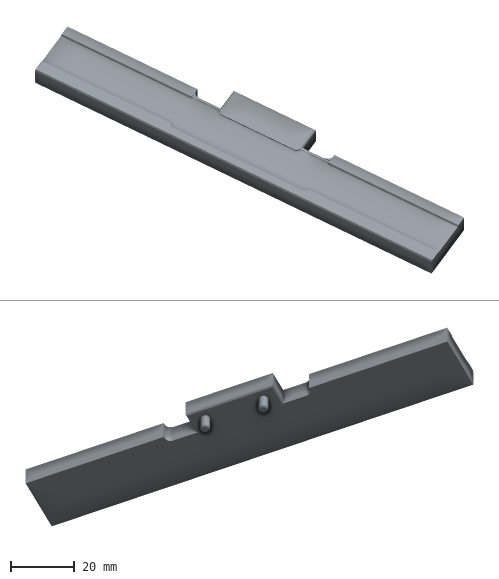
import cadquery as cq

rail_length = 145.0
rail_depth = 19.9
rail_height = 6.5
front_chamfer = 0.5

channel_front = 4.2
channel_back = 16.0
channel_back_top = 16.4
channel_floor = rail_height - 0.5

middle_length = 50.0
notch_floor = 17.3
notch_radius = 2.0
flare_front_top = 2.8
flare_front = 3.6
flare_back = 16.4
flare_corner = 1.0
ledge_height = rail_height - 0.22

block_length = 30.0
block_front = 15.2
block_back = 25.4
block_chamfer = 0.5
block_front_chamfer = 1.3

pin_diameter = 3.0
pin_length = 5.0
pin_spacing = 20.0
pin_y = 21.5
pin_chamfer = 0.5


def make_rail():
    """Bar with its channel, extruded along X from the end profile."""
    profile = [
        (0, 0),
        (rail_depth, 0),
        (rail_depth, rail_height),
        (channel_back_top, rail_height),
        (channel_back, channel_floor),
        (channel_front, channel_floor),
        (channel_front, rail_height),
        (front_chamfer, rail_height),
        (0, rail_height - front_chamfer),
    ]
    rail = cq.Workplane("YZ").polyline(profile).close()
    return rail.extrude(rail_length / 2, both=True)


def make_notch():
    """Cutter for the back notch, with rounded inner corners."""
    notch_depth = 2 * (rail_depth - notch_floor)
    return (
        cq.Workplane("XY")
        .box(middle_length, notch_depth, rail_height, centered=(True, False, False))
        .edges("|Z and <Y")
        .fillet(notch_radius)
        .translate((0, notch_floor, 0))
    )


def make_flare():
    """Clipped-corner cutter that widens the middle of the channel, with a sloped front and a back ledge."""
    profile = [
        (flare_front_top, rail_height),
        (flare_front, channel_floor),
        (flare_back, channel_floor),
        (flare_back, ledge_height),
        (notch_floor, ledge_height),
        (notch_floor, rail_height),
    ]
    flare = cq.Workplane("YZ").polyline(profile).close().extrude(middle_length / 2, both=True)
    clip = (
        cq.Workplane("XY")
        .box(middle_length, rail_depth - flare_front_top, rail_height, centered=(True, False, False))
        .edges("|Z and <Y")
        .chamfer(flare_corner)
        .translate((0, flare_front_top, 0))
    )
    return flare.intersect(clip)


def make_block():
    """Block with chamfered top, bottom and front upright edges."""
    return (
        cq.Workplane("XY")
        .box(block_length, block_back - block_front, rail_height, centered=(True, False, False))
        .edges("|Z and <Y")
        .chamfer(block_front_chamfer)
        .faces(">Y or <X or >X")
        .edges("<Z or >Z")
        .chamfer(block_chamfer)
        .translate((0, block_front, 0))
    )


def make_pins():
    """Two round pins hanging below the block, chamfered at the tips."""
    return (
        cq.Workplane("XY")
        .pushPoints([(-pin_spacing / 2, pin_y), (pin_spacing / 2, pin_y)])
        .circle(pin_diameter / 2)
        .extrude(-pin_length)
        .faces("<Z")
        .chamfer(pin_chamfer)
    )


rail = make_rail().cut(make_notch()).cut(make_flare())
result = rail.union(make_block()).union(make_pins())